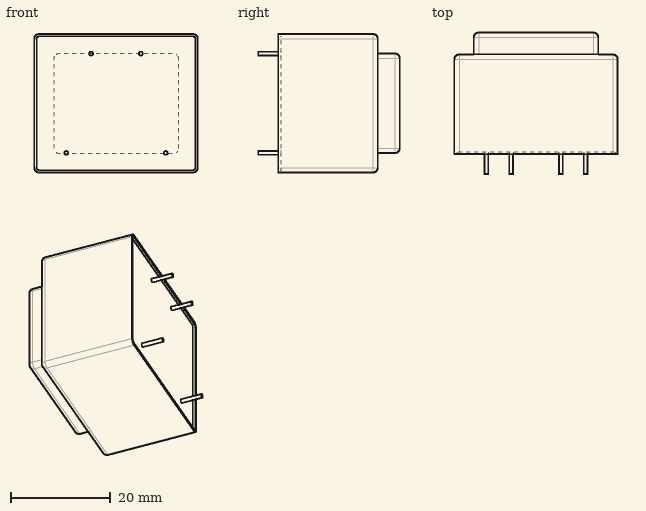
import cadquery as cq

case_width = 32.8
case_height = 27.8
case_depth = 20.0
edge_radius = 1.0

rim_thickness = 0.5
recess_depth = 0.5

block_width = 25.0
block_height = 20.0
block_rise = 4.4

pin_diameter = 0.8
pin_length = 4.0
pin_pitch = 5.0
pin_embed = 0.33
upper_pin_x = pin_pitch
lower_pin_x = 2 * pin_pitch
pin_row_z = 2 * pin_pitch


def box_from(width, height, y_start, y_end):
    """Box centred on the Y axis, spanning y_start to y_end."""
    return cq.Workplane("XY").box(width, y_end - y_start, height).translate((0, (y_start + y_end) / 2, 0))


def rounded_block(width, height, y_start, y_end):
    """Box with rounded sides and a rounded +Y face."""
    return box_from(width, height, y_start, y_end).edges("|Y or >Y").fillet(edge_radius)


def rim_recess():
    """Pocket volume whose corners are concentric with the case corners."""
    width = case_width - 2 * rim_thickness
    height = case_height - 2 * rim_thickness
    return box_from(width, height, 0, recess_depth).edges("|Y").fillet(edge_radius - rim_thickness)


def pin(x, z):
    """Round pin from just below the recess floor out past the rim."""
    root_y = recess_depth + pin_embed
    return (
        cq.Workplane("XZ", origin=(x, root_y, z))
        .circle(pin_diameter / 2)
        .extrude(root_y + pin_length)
    )


case = rounded_block(case_width, case_height, 0, case_depth)
case = case.cut(rim_recess())

back_block = rounded_block(block_width, block_height, case_depth / 2, case_depth + block_rise)
result = case.union(back_block)

for side in (-1, 1):
    result = result.union(pin(side * upper_pin_x, pin_row_z))
    result = result.union(pin(side * lower_pin_x, -pin_row_z))